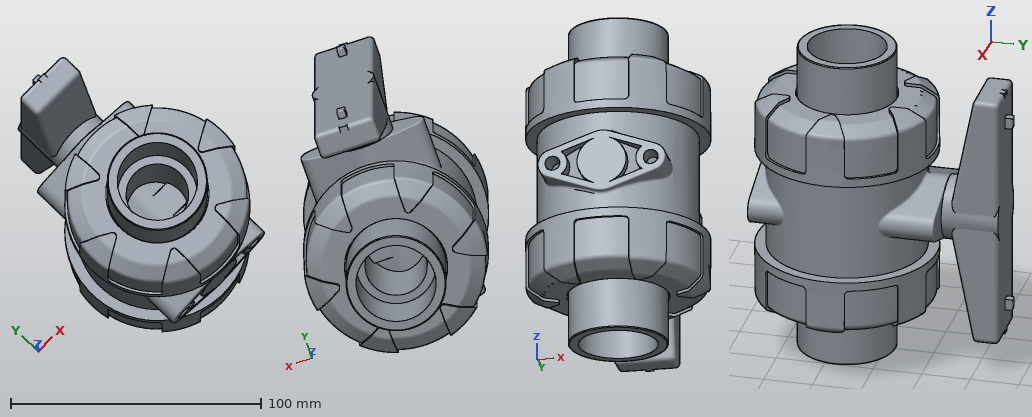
import cadquery as cq
import math


length = 132.0
overall_depth = 105.5
pipe_diameter = 40.0
socket_diameter = 32.0
pipe_end_chamfer = 0.4
socket_depth = 23.1
bore_diameter = 25.0
body_diameter = 65.0

nut_diameter = 74.0
nut_bottom = 21.3
nut_rib_taper = 0.1
nut_shoulder = 42.8
nut_top = 46.9
nut_top_radius = 30.0
core_radius = 35.9
core_shoulder = 42.0
core_top = 45.5
core_top_radius = 29.8
nut_edge_fillet = 2.0
panel_count = 6
panel_width = 22.3
panel_bottom = 25.0
panel_corner = 1.7
panel_inner = 26.4
rib_tip_fillet = 1.6
nut_hole_diameter = 41.2
nut_gap_depth = 3.3

flange_front = 34.7
flange_back = 42.0
hole_spacing = 40.0
ear_diameter = 12.0
screw_hole_diameter = 6.0
crown_diameter = 19.9
crown_offset = 2.9
root_fillet = 0.9
flange_edge_fillet = 0.5
pad_diameter = 19.9
stop_width = 11.4

stem_diameter = 26.0
handle_back = 65.3
handle_width = 25.1
handle_height = 106.9
handle_end_depth = 10.4
handle_tip_depth = 19.5
handle_tip_height = 14.5
handle_tip_fillet = 4.0
handle_fillet = 2.0
spine_width = 3.3
spine_depth = 2.5
pin_height = 4.6
pin_spacing = 80.5
pin_edge_fillet = 0.4

margin = 1.3

body_radius = body_diameter / 2
nut_radius = nut_diameter / 2
ear_radius = ear_diameter / 2
crown_radius = crown_diameter / 2
ear_x = hole_spacing / 2
pin_reach = overall_depth - nut_radius


def cylinder(diameter, bottom, top):
    return cq.Workplane("XY").workplane(offset=bottom).circle(diameter / 2).extrude(top - bottom)


def along_y(front, back):
    """Sketch plane at y = front and the signed distance that extrudes it to y = back."""
    return cq.Workplane("XZ", origin=(0, front, 0)), front - back


def cylinder_y(diameter, front, back, x=0):
    plane, depth = along_y(front, back)
    return plane.center(x, 0).circle(diameter / 2).extrude(depth)


side_angle = math.atan2(crown_offset, ear_x) + math.asin(
    (crown_radius - ear_radius) / math.hypot(ear_x, crown_offset)
)
normal_x = math.sin(side_angle)
normal_z = math.cos(side_angle)
crown_x = crown_radius * normal_x
crown_z = crown_offset + crown_radius * normal_z
crown_top = crown_offset + crown_radius
ear_side_x = ear_x + ear_radius * normal_x
ear_side_z = ear_radius * normal_z
ear_end_x = ear_x + ear_radius


def flange_prism():
    plane, depth = along_y(-flange_front, flange_back)
    return (
        plane.moveTo(-crown_x, crown_z)
        .threePointArc((0, crown_top), (crown_x, crown_z))
        .lineTo(ear_side_x, ear_side_z)
        .threePointArc((ear_end_x, 0), (ear_side_x, -ear_side_z))
        .lineTo(crown_x, -crown_z)
        .threePointArc((0, -crown_top), (-crown_x, -crown_z))
        .lineTo(-ear_side_x, -ear_side_z)
        .threePointArc((-ear_end_x, 0), (-ear_side_x, ear_side_z))
        .close()
        .extrude(depth)
    )


def flange_recesses():
    """Screw holes and lightening pockets of the front flange, down to the body cylinder."""
    pad_tangent_x = (pad_diameter / 2) * normal_x
    pad_tangent_z = (pad_diameter / 2) * normal_z
    side_slope = normal_x / normal_z
    ear_inner_z = pad_tangent_z - side_slope * (ear_x - pad_tangent_x)
    plane, depth = along_y(-flange_front, 0)
    recesses = (
        plane.polyline(
            [
                (-pad_tangent_x, pad_tangent_z),
                (pad_tangent_x, pad_tangent_z),
                (ear_x, ear_inner_z),
                (ear_x, -ear_inner_z),
                (pad_tangent_x, -pad_tangent_z),
                (-pad_tangent_x, -pad_tangent_z),
                (-ear_x, -ear_inner_z),
                (-ear_x, ear_inner_z),
            ]
        )
        .close()
        .extrude(depth)
        .cut(cylinder_y(pad_diameter, -flange_front, 0))
    )
    for x in (-ear_x, ear_x):
        recesses = recesses.cut(cylinder_y(ear_diameter, -flange_front, 0, x))
        recesses = recesses.union(cylinder_y(screw_hole_diameter, -flange_front, 0, x))
    return recesses.cut(cylinder(body_diameter, -nut_bottom, nut_bottom))


def housing():
    """Body cylinder with the flange running through it and a fillet along the joint."""
    flange = flange_prism().faces("<Y or >Y").edges().fillet(flange_edge_fillet)
    body = cylinder(body_diameter, -nut_bottom, nut_bottom).union(flange)
    joint_zone = cq.selectors.BoxSelector(
        (-body_radius, -body_radius - margin, -crown_top - margin),
        (body_radius, body_radius + margin, crown_top + margin),
        boundingbox=True,
    )
    return body.edges(joint_zone).fillet(root_fillet)


def nut_blank(radius, shoulder_radius, shoulder, top_radius, top):
    """Round nut with a conical shoulder and both shoulder edges rounded."""
    blank = (
        cq.Workplane("XZ")
        .polyline(
            [
                (0, nut_bottom),
                (radius, nut_bottom),
                (shoulder_radius, shoulder),
                (top_radius, top),
                (0, top),
            ]
        )
        .close()
        .revolve(360, (0, 0, 0), (0, 1, 0))
    )
    shoulder_edges = cq.selectors.BoxSelector(
        (-margin, -margin, nut_bottom + margin), (margin, margin, length)
    )
    return blank.edges("%CIRCLE").edges(shoulder_edges).fillet(nut_edge_fillet)


def nut():
    """Upper union nut: a smooth core with six outer ribs left between rounded panels."""
    core = nut_blank(core_radius, core_radius, core_shoulder, core_top_radius, core_top)
    ribs = nut_blank(nut_radius, nut_radius - nut_rib_taper, nut_shoulder, nut_top_radius, nut_top)
    panel_height = nut_top - panel_bottom + panel_corner
    panel = (
        cq.Workplane("XY")
        .box(panel_width, nut_radius, panel_height, centered=(True, False, False))
        .edges("|Y")
        .fillet(panel_corner)
        .translate((0, panel_inner, panel_bottom))
    )
    arm = cq.Workplane("XY").box(panel_width, nut_radius, nut_top, centered=(True, False, False))
    arm = arm.translate((0, 0, core_shoulder - nut_edge_fillet))
    star = arm
    for index in range(panel_count):
        turn = index * 360 / panel_count
        ribs = ribs.cut(panel.rotate((0, 0, 0), (0, 0, 1), turn))
        star = star.union(arm.rotate((0, 0, 0), (0, 0, 1), turn))
    tip_zone = cq.selectors.BoxSelector(
        (-panel_width - margin, -panel_width - margin, 0),
        (panel_width + margin, panel_width + margin, length),
    )
    star = star.edges("|Z").edges(tip_zone).fillet(rib_tip_fillet)
    return core.union(ribs.cut(star))


def both_ends(shape):
    return shape.union(shape.mirror("XY"))


def handle():
    """Tapered lever on the round stem, with a spine and two pins on its back."""
    stem = cylinder_y(stem_diameter, flange_back, handle_back)
    end_y = handle_back - handle_end_depth
    tip_y = handle_back - handle_tip_depth
    end_z = handle_height / 2
    tip_z = handle_tip_height / 2
    lever = (
        cq.Workplane("YZ")
        .polyline(
            [
                (handle_back, end_z),
                (end_y, end_z),
                (tip_y, tip_z),
                (tip_y, -tip_z),
                (end_y, -end_z),
                (handle_back, -end_z),
            ]
        )
        .close()
        .extrude(handle_width / 2, both=True)
    )
    lever = lever.edges("|X").edges("<Y").fillet(handle_tip_fillet)
    lever = lever.edges("|X").edges(">Z or <Z").fillet(handle_fillet)
    lever = lever.faces("<X or >X").edges().fillet(handle_fillet)
    spine = cq.Workplane("XY").box(spine_width, spine_depth, handle_height)
    spine = spine.translate((0, handle_back - spine_depth / 2, 0))
    plane, depth = along_y(handle_back, pin_reach)
    pins = plane.rarray(1.3, pin_spacing, 1, 2).rect(spine_width, pin_height).extrude(depth)
    pins = pins.faces(">Y").edges().fillet(pin_edge_fillet)
    return stem.union(lever).union(spine).union(pins)


def waterway():
    """Bore and sockets, closed in the middle by the flange prism and a flat-topped stop."""
    bore = cylinder(bore_diameter, -length / 2, length / 2).cut(flange_prism())
    stop = cq.Workplane("XY").box(
        bore_diameter, stop_width, 2 * crown_z, centered=(False, True, True)
    )
    bore = bore.cut(stop.translate((crown_x, 0, 0)))
    return bore.union(both_ends(cylinder(socket_diameter, length / 2 - socket_depth, length / 2)))


nut_gap = cylinder(nut_hole_diameter, nut_top - nut_gap_depth, nut_top).cut(
    cylinder(pipe_diameter, 0, length / 2)
)
pipe = cylinder(pipe_diameter, nut_bottom, length / 2).faces(">Z").chamfer(pipe_end_chamfer)
nut_with_pipe = nut().cut(nut_gap).union(pipe)

result = housing().cut(flange_recesses()).union(handle())
result = result.union(nut_with_pipe).union(nut_with_pipe.mirror("XY"))
result = result.cut(waterway())